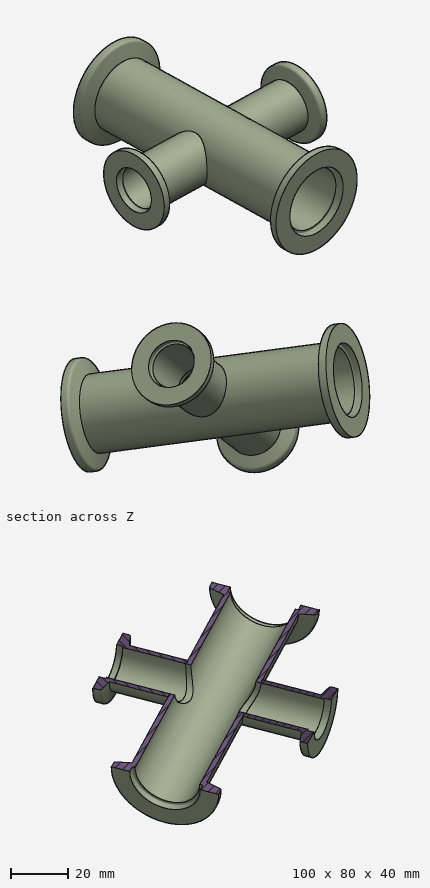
import cadquery as cq
import math

RUN_LENGTH = 100.0
RUN_FLANGE_RADIUS = 20.0
RUN_PIPE_RADIUS = 14.0
RUN_BORE_RADIUS = 12.0
RUN_RECESS_RADIUS = 13.1

BRANCH_SPAN = 80.0
BRANCH_FLANGE_RADIUS = 15.0
BRANCH_PIPE_RADIUS = 10.0
BRANCH_BORE_RADIUS = 8.0
BRANCH_RECESS_RADIUS = 8.6

RIM_THICKNESS = 3.0
RIM_ROUND = 1.0
BACK_SLOPE = math.tan(math.radians(15.0))
RECESS_DEPTH = 2.5
RECESS_FLOOR_ROUND = 0.2

X_AXIS = cq.Vector(1, 0, 0)
Y_AXIS = cq.Vector(0, 1, 0)


def cylinder(radius, axis, start, end):
    """Cylinder around an axis through the origin, between two distances along it."""
    return cq.Workplane(cq.Solid.makeCylinder(radius, end - start, axis * start, axis))


def flange(axis, face_distance, flange_radius, pipe_radius):
    """Rim disc with a conical back and a rounded corner between, facing along axis."""
    back_depth = RIM_THICKNESS + (flange_radius - pipe_radius) * BACK_SLOPE
    rim = cylinder(flange_radius, axis, face_distance - RIM_THICKNESS, face_distance)
    cone = cq.Workplane(
        cq.Solid.makeCone(
            pipe_radius,
            flange_radius,
            back_depth - RIM_THICKNESS,
            axis * (face_distance - back_depth),
            axis,
        )
    )
    rim_corner = cq.selectors.NearestToPointSelector((axis * (face_distance - RIM_THICKNESS)).toTuple())
    return rim.union(cone).edges(rim_corner).fillet(RIM_ROUND)


def seal_recess(axis, face_distance, radius):
    """Shallow counterbore with a rounded floor corner for a centring ring, to be cut from a flange face."""
    floor_distance = face_distance - RECESS_DEPTH
    floor_edge = cq.selectors.NearestToPointSelector((axis * floor_distance).toTuple())
    recess = cylinder(radius, axis, floor_distance, face_distance)
    return recess.edges(floor_edge).fillet(RECESS_FLOOR_ROUND)


def make_run():
    """Straight flanged pipe with a hole through both walls for the branches."""
    end = RUN_LENGTH / 2
    run = cylinder(RUN_PIPE_RADIUS, X_AXIS, -end, end)
    for axis in (X_AXIS, -X_AXIS):
        run = run.union(flange(axis, end, RUN_FLANGE_RADIUS, RUN_PIPE_RADIUS))
    run = run.cut(cylinder(RUN_BORE_RADIUS, X_AXIS, -end, end))
    for axis in (X_AXIS, -X_AXIS):
        run = run.cut(seal_recess(axis, end, RUN_RECESS_RADIUS))
    return run.cut(cylinder(BRANCH_BORE_RADIUS, Y_AXIS, -RUN_PIPE_RADIUS, RUN_PIPE_RADIUS))


def make_branch(axis):
    """Flanged stub whose inner end is saddled onto the outside of the run pipe."""
    end = BRANCH_SPAN / 2
    branch = cylinder(BRANCH_PIPE_RADIUS, axis, 0, end)
    branch = branch.union(flange(axis, end, BRANCH_FLANGE_RADIUS, BRANCH_PIPE_RADIUS))
    branch = branch.cut(cylinder(BRANCH_BORE_RADIUS, axis, 0, end))
    branch = branch.cut(seal_recess(axis, end, BRANCH_RECESS_RADIUS))
    return branch.cut(cylinder(RUN_PIPE_RADIUS, X_AXIS, -RUN_LENGTH / 2, RUN_LENGTH / 2))


run = make_run()
branches = [make_branch(axis) for axis in (Y_AXIS, -Y_AXIS)]

solids = [body.solids().val() for body in (run, *branches)]
result = cq.Compound.makeCompound(solids)